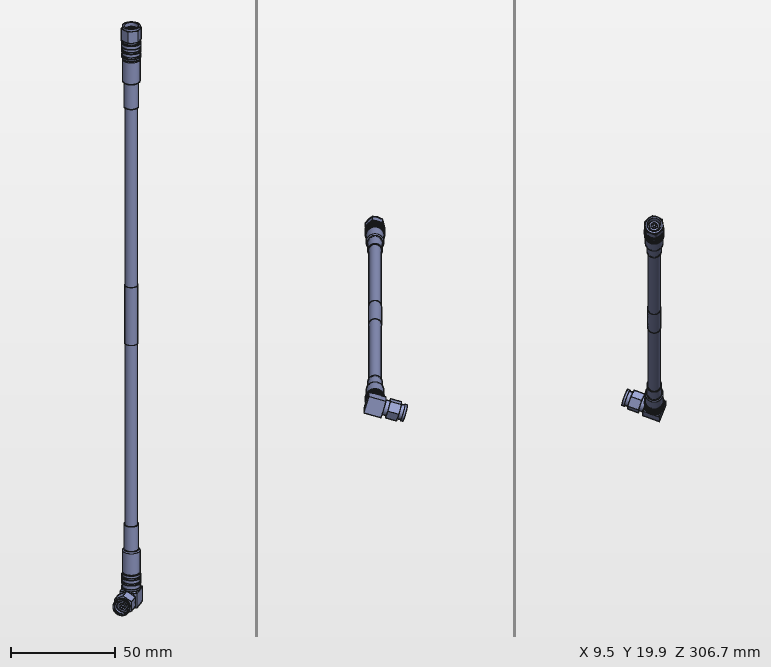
import cadquery as cq


TOTAL_LENGTH = 306.7
CABLE_DIA = 6.0
LABEL_DIA = 6.5
LABEL_BOTTOM = 138.5
LABEL_LENGTH = 30.7
SLEEVE_DIA = 7.0
SLEEVE_LENGTH = 13.2

BARREL_DIA = 8.5
BARREL_LENGTH = 12.5
BARREL_CHAMFER = 0.5
RIB_DIA = 9.5
RIB_WIDTH = 1.0
RIB_GAP = 1.2
RIB_PITCH = 2.8
RIB_COUNT = 2

NUT_FLATS = 8.5
NUT_RADIUS = NUT_FLATS / 3**0.5
MOUTH_DIA = 6.7
MOUTH_DEPTH = 5.0
STEM_DIA = 5.0
STEM_RECESS = 1.5
PIN_DIA = 1.2
PIN_RECESS = 0.5
SOCKET_DIA = 3.0
SOCKET_DEPTH = 2.5

STRAIGHT_BARREL_BOTTOM = 277.0
STRAIGHT_BARREL_TOP = STRAIGHT_BARREL_BOTTOM + BARREL_LENGTH
STRAIGHT_BOSS_LENGTH = 1.0
STRAIGHT_HEX_LENGTH = 6.0
STRAIGHT_CAP_LENGTH = 1.2
STRAIGHT_NUT_LENGTH = STRAIGHT_BOSS_LENGTH + STRAIGHT_HEX_LENGTH + STRAIGHT_CAP_LENGTH
STRAIGHT_NUT_BASE = TOTAL_LENGTH - STRAIGHT_NUT_LENGTH
COLLAR_WIDTH = 1.8
COLLAR_GAP = 0.5

BLOCK_SIDE = 8.5
BLOCK_BOTTOM = 0.5
BLOCK_HEIGHT = 8.3
BLOCK_CHAMFER = 0.5
BLOCK_TOP = BLOCK_BOTTOM + BLOCK_HEIGHT
BLOCK_COLLAR_DIA = 9.2
BLOCK_COLLAR_HEIGHT = 1.0
NECK_DIA = 7.5
ANGLE_BARREL_BOTTOM = 17.0
ANGLE_BARREL_TOP = ANGLE_BARREL_BOTTOM + BARREL_LENGTH
ANGLE_NUT_AXIS = NUT_RADIUS
ANGLE_NUT_BASE = 6.5
ANGLE_HEX_LENGTH = 5.5
GROOVE_DIA = 7.5
GROOVE_LENGTH = 1.8
FLANGE_DIA = 8.3
FLANGE_LENGTH = 1.2
ANGLE_NUT_LENGTH = ANGLE_HEX_LENGTH + GROOVE_LENGTH + FLANGE_LENGTH


def cylinder(diameter, bottom, top):
    """Cylinder on the Z axis between two heights."""
    return cq.Workplane("XY").workplane(offset=bottom).circle(diameter / 2).extrude(top - bottom)


def hexagon(length):
    """Hexagonal bar standing on Z = 0 with two corners on the Y axis."""
    return cq.Workplane("XY").polygon(6, 2 * NUT_RADIUS).extrude(length).rotate((0, 0, 0), (0, 0, 1), 90)


def make_stem(nut_length):
    """Socketed stem and pin for a nut standing on Z = 0; the stem's wide root fills the bore."""
    root = cylinder(MOUTH_DIA, 0, nut_length - MOUTH_DEPTH)
    stem_end = nut_length - STEM_RECESS
    stem = cylinder(STEM_DIA, 0, stem_end).cut(cylinder(SOCKET_DIA, stem_end - SOCKET_DEPTH, stem_end))
    pin = cylinder(PIN_DIA, 0, nut_length - PIN_RECESS)
    return root.union(stem).union(pin)


def make_barrel(bottom):
    """Crimp barrel with both rims chamfered."""
    return cylinder(BARREL_DIA, bottom, bottom + BARREL_LENGTH).faces("|Z").chamfer(BARREL_CHAMFER)


def make_sleeve(bottom):
    """Sleeve hugging the cable."""
    top = bottom + SLEEVE_LENGTH
    return cylinder(SLEEVE_DIA, bottom, top).cut(cylinder(CABLE_DIA, bottom, top))


def make_ribs(barrel_end, direction):
    """Thin ribs beyond a barrel's connector end; direction is +1 upward or -1 downward."""
    ribs = cq.Workplane("XY")
    for index in range(RIB_COUNT):
        near = barrel_end + direction * (RIB_GAP + index * RIB_PITCH)
        ribs = ribs.add(cylinder(RIB_DIA, near, near + direction * RIB_WIDTH))
    return ribs


def make_straight_nut():
    """Hexagonal nut with a short round boss at each end and a through bore."""
    rounds = cylinder(NUT_FLATS, 0, STRAIGHT_NUT_LENGTH)
    bore = cylinder(MOUTH_DIA, 0, STRAIGHT_NUT_LENGTH)
    flats = hexagon(STRAIGHT_HEX_LENGTH).translate((0, 0, STRAIGHT_BOSS_LENGTH))
    return flats.union(rounds).cut(bore).translate((0, 0, STRAIGHT_NUT_BASE))


def make_straight_body():
    """Barrel, ribbed grip, wide collar and stem of the straight connector."""
    collar_top = STRAIGHT_NUT_BASE - COLLAR_GAP
    body = make_barrel(STRAIGHT_BARREL_BOTTOM)
    body = body.union(cylinder(BARREL_DIA, STRAIGHT_BARREL_TOP, STRAIGHT_NUT_BASE))
    body = body.union(make_ribs(STRAIGHT_BARREL_TOP, 1))
    body = body.union(cylinder(RIB_DIA, collar_top - COLLAR_WIDTH, collar_top))
    return body.union(make_stem(STRAIGHT_NUT_LENGTH).translate((0, 0, STRAIGHT_NUT_BASE)))


def turn_to_front(shape):
    """Move a nut or stem from Z = 0 onto the right-angle connector, its mouth facing -Y."""
    return shape.rotate((0, 0, 0), (1, 0, 0), 90).translate((0, -ANGLE_NUT_BASE, ANGLE_NUT_AXIS))


def make_angle_nut():
    """Hexagonal nut with a groove, an end flange and a through bore."""
    groove = cylinder(GROOVE_DIA, ANGLE_HEX_LENGTH, ANGLE_NUT_LENGTH)
    flange = cylinder(FLANGE_DIA, ANGLE_NUT_LENGTH - FLANGE_LENGTH, ANGLE_NUT_LENGTH)
    bore = cylinder(MOUTH_DIA, 0, ANGLE_NUT_LENGTH)
    return turn_to_front(hexagon(ANGLE_HEX_LENGTH).union(groove).union(flange).cut(bore))


def make_angle_body():
    """Square elbow block with a round collar, ribbed grip, barrel, side neck and stem."""
    block = (
        cq.Workplane("XY")
        .workplane(offset=BLOCK_BOTTOM)
        .rect(BLOCK_SIDE, BLOCK_SIDE)
        .extrude(BLOCK_HEIGHT)
        .faces(">Z")
        .chamfer(BLOCK_CHAMFER)
    )
    neck = cq.Workplane("XZ").center(0, ANGLE_NUT_AXIS).circle(NECK_DIA / 2).extrude(ANGLE_NUT_BASE)
    body = block.union(neck)
    body = body.union(cylinder(BLOCK_COLLAR_DIA, BLOCK_TOP, BLOCK_TOP + BLOCK_COLLAR_HEIGHT))
    body = body.union(cylinder(BARREL_DIA, BLOCK_TOP, ANGLE_BARREL_BOTTOM))
    body = body.union(make_ribs(ANGLE_BARREL_BOTTOM, -1))
    body = body.union(make_barrel(ANGLE_BARREL_BOTTOM))
    return body.union(turn_to_front(make_stem(ANGLE_NUT_LENGTH)))


cable = cylinder(CABLE_DIA, ANGLE_BARREL_TOP, STRAIGHT_BARREL_BOTTOM)
label = cylinder(LABEL_DIA, LABEL_BOTTOM, LABEL_BOTTOM + LABEL_LENGTH).cut(cable)
sleeve_bottoms = [ANGLE_BARREL_TOP, STRAIGHT_BARREL_BOTTOM - SLEEVE_LENGTH]
sleeves = [make_sleeve(bottom) for bottom in sleeve_bottoms]
straight_body = make_straight_body()
straight_nut = make_straight_nut()
angle_body = make_angle_body()
angle_nut = make_angle_nut()

result = cq.Compound.makeCompound(
    [
        cable.val(),
        label.val(),
        *[sleeve.val() for sleeve in sleeves],
        straight_body.val(),
        straight_nut.val(),
        angle_body.val(),
        angle_nut.val(),
    ]
)